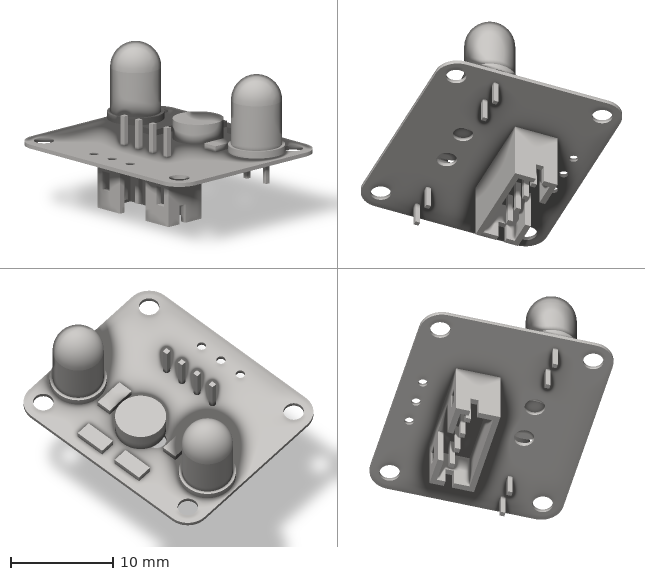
import cadquery as cq


board_length = 23.02
board_width = 19.52
board_thickness = 0.4
board_corner_radius = 2.25
mount_hole_diameter = 2.0
mount_hole_pitch_x = 18.97
mount_hole_pitch_y = 15.48
pad_hole_diameter = 0.9
pad_hole_pitch = 2.54
pad_hole_count = 3
pad_row_x = -0.05
pad_row_y = -7.62

component_row_y = 3.76

led_pitch = 16.95
led_diameter = 5.0
led_flange_diameter = 5.6
led_flange_height = 0.7
led_barrel_height = 4.5
led_standoff = 0.3
lead_size = 0.48
lead_pitch = 2.72
lead_drop = 2.3
lead_hole_diameter = 0.6

disc_x = 0.29
disc_diameter = 5.0
disc_height = 2.0
disc_hole_diameter = 2.0
disc_hole_pitch = 4.1

chip_length = 3.2
chip_width = 1.6
chip_height = 0.6
crosswise_chip_centres = [(-2.25, 7.81), (2.59, 7.81)]
lengthwise_chip_centres = [(-3.99, 2.75), (4.46, 2.92)]

connector_x = 0.17
connector_length = 9.95
connector_depth = 4.5
connector_height = 6.0
connector_front_y = -4.98
shell_wall = 0.6
cavity_depth = 4.25
front_slot_width = 3.6
front_slot_offset = -0.05
side_slot_width = 0.85
side_slot_depth = 1.88
side_slot_setback = 1.45
window_width = 1.0
window_height = 1.88
window_pitch = 7.6
window_sill = 1.95

pin_count = 4
pin_pitch = 2.0
pin_size = 0.52
pin_row_y = -3.26
pin_rise = 3.0
pin_bottom_gap = 0.92
pin_hole_diameter = 0.7
pin_hole_row_x = 0.09
pin_hole_row_y = -3.18


def box(x_centre, y_centre, z_bottom, length, width, height):
    """Upright block centred in X and Y and standing on z_bottom."""
    centred_block = cq.Workplane("XY").box(length, width, height, centered=(True, True, False))
    return centred_block.translate((x_centre, y_centre, z_bottom))


def row(centre, pitch, count):
    """Evenly spaced positions about a centre."""
    return [centre + (i - (count - 1) / 2) * pitch for i in range(count)]


led_centres_x = row(0, led_pitch, 2)


def make_led(x):
    """Domed LED with a flange and two square leads, held off the board on its leads."""
    flange_bottom = board_thickness + led_standoff
    flange_top = flange_bottom + led_flange_height
    dome_base = flange_top + led_barrel_height
    barrel_radius = led_diameter / 2
    flange_radius = led_flange_diameter / 2
    dome_diagonal = barrel_radius * 0.5 ** 0.5
    led = (
        cq.Workplane("XZ")
        .moveTo(0, flange_bottom)
        .lineTo(flange_radius, flange_bottom)
        .lineTo(flange_radius, flange_top)
        .lineTo(barrel_radius, flange_top)
        .lineTo(barrel_radius, dome_base)
        .threePointArc((dome_diagonal, dome_base + dome_diagonal), (0, dome_base + barrel_radius))
        .close()
        .revolve(360, (0, 0, 0), (0, 1, 0))
        .translate((x, component_row_y, 0))
    )
    for lead_x in row(x, lead_pitch, 2):
        lead = box(lead_x, component_row_y, -lead_drop, lead_size, lead_size, lead_drop + flange_bottom)
        led = led.union(lead)
    return led


def make_connector():
    """Open-bottomed shell with slots and windows, joined to its four through pins."""
    bottom = -connector_height
    centre_y = connector_front_y + connector_depth / 2
    shell = box(connector_x, centre_y, bottom, connector_length, connector_depth, connector_height)

    inner_length = connector_length - 2 * shell_wall
    inner_depth = connector_depth - 2 * shell_wall
    shell = shell.cut(box(connector_x, centre_y, bottom, inner_length, inner_depth, cavity_depth))

    front_wall_y = connector_front_y + shell_wall / 2
    slot_x = connector_x + front_slot_offset
    shell = shell.cut(box(slot_x, front_wall_y, bottom, front_slot_width, shell_wall, cavity_depth))
    for window_x in row(connector_x, window_pitch, 2):
        window_bottom = bottom + window_sill
        window = box(window_x, front_wall_y, window_bottom, window_width, shell_wall, window_height)
        shell = shell.cut(window)

    side_slot_y = connector_front_y + side_slot_setback + side_slot_width / 2
    side_slot = box(connector_x, side_slot_y, bottom, connector_length, side_slot_width, side_slot_depth)
    shell = shell.cut(side_slot)

    pin_bottom = bottom + pin_bottom_gap
    pin_length = board_thickness + pin_rise - pin_bottom
    for pin_x in row(connector_x, pin_pitch, pin_count):
        shell = shell.union(box(pin_x, pin_row_y, pin_bottom, pin_size, pin_size, pin_length))
    return shell


def make_disc():
    """Short round component standing on the board."""
    return (
        cq.Workplane("XY", origin=(disc_x, component_row_y, board_thickness))
        .circle(disc_diameter / 2)
        .extrude(disc_height)
    )


def make_chip(centre, size_x, size_y):
    """Flat rectangular chip standing on the board."""
    return box(centre[0], centre[1], board_thickness, size_x, size_y, chip_height)


def drill(plate, centres, diameter):
    """Round through holes in the board."""
    drills = cq.Workplane("XY").pushPoints(centres).circle(diameter / 2).extrude(board_thickness)
    return plate.cut(drills)


def make_board(through_parts):
    """Rounded board with its holes, each opened up where a square pin or lead fills it."""
    plate = box(0, 0, 0, board_length, board_width, board_thickness)
    plate = plate.edges("|Z").fillet(board_corner_radius)

    mount_centres = [
        (x, y) for x in row(0, mount_hole_pitch_x, 2) for y in row(0, mount_hole_pitch_y, 2)
    ]
    pad_centres = [(x, pad_row_y) for x in row(pad_row_x, pad_hole_pitch, pad_hole_count)]
    pin_centres = [(x, pin_hole_row_y) for x in row(pin_hole_row_x, pin_pitch, pin_count)]
    disc_hole_centres = [(x, component_row_y) for x in row(disc_x, disc_hole_pitch, 2)]
    lead_centres = [
        (x, component_row_y) for led_x in led_centres_x for x in row(led_x, lead_pitch, 2)
    ]

    plate = drill(plate, mount_centres, mount_hole_diameter)
    plate = drill(plate, pad_centres, pad_hole_diameter)
    plate = drill(plate, pin_centres, pin_hole_diameter)
    plate = drill(plate, disc_hole_centres, disc_hole_diameter)
    plate = drill(plate, lead_centres, lead_hole_diameter)
    for part in through_parts:
        plate = plate.cut(part)
    return plate


leds = [make_led(x) for x in led_centres_x]
connector = make_connector()
disc = make_disc()
chips = [make_chip(centre, chip_length, chip_width) for centre in crosswise_chip_centres]
chips += [make_chip(centre, chip_width, chip_length) for centre in lengthwise_chip_centres]
board = make_board([connector, *leds])

bodies = [board, connector, disc, *leds, *chips]
result = cq.Compound.makeCompound([body.solids().val() for body in bodies])